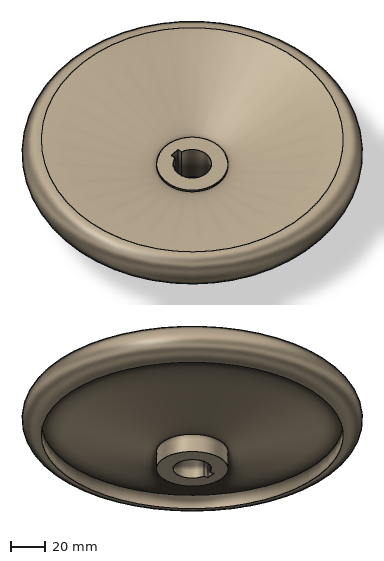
import cadquery as cq

outer_diameter = 200.0
total_height = 45.0
rim_thickness = 22.5
hub_diameter = 42.0
hub_top = 24.0
bore_diameter = 22.5
keyway_width = 6.0
keyway_reach = 13.5
web_top_at_hub = 22.5
web_bottom_at_hub = 11.5
web_bottom_at_rim = 31.5

outer_radius = outer_diameter / 2
hub_radius = hub_diameter / 2
rim_radius = rim_thickness / 2
rim_center_radius = outer_radius - rim_radius
rim_center_height = total_height - rim_radius
rim_bottom = total_height - rim_thickness


def make_wheel():
    """Hub, dished web and half-round rim, revolved as one profile."""
    return (
        cq.Workplane("XZ")
        .moveTo(0, 0)
        .lineTo(hub_radius, 0)
        .lineTo(hub_radius, web_bottom_at_hub)
        .lineTo(rim_center_radius, web_bottom_at_rim)
        .lineTo(rim_center_radius, rim_bottom)
        .threePointArc((outer_radius, rim_center_height), (rim_center_radius, total_height))
        .lineTo(hub_radius, web_top_at_hub)
        .lineTo(hub_radius, hub_top)
        .lineTo(0, hub_top)
        .close()
        .revolve(360, (0, 0), (0, 1))
    )


def make_keyed_bore():
    """Through bore with a keyway on the -X side."""
    bore = cq.Workplane("XY").circle(bore_diameter / 2).extrude(hub_top)
    keyway = (
        cq.Workplane("XY")
        .center(-keyway_reach / 2, 0)
        .rect(keyway_reach, keyway_width)
        .extrude(hub_top)
    )
    return bore.union(keyway)


result = make_wheel().cut(make_keyed_bore())